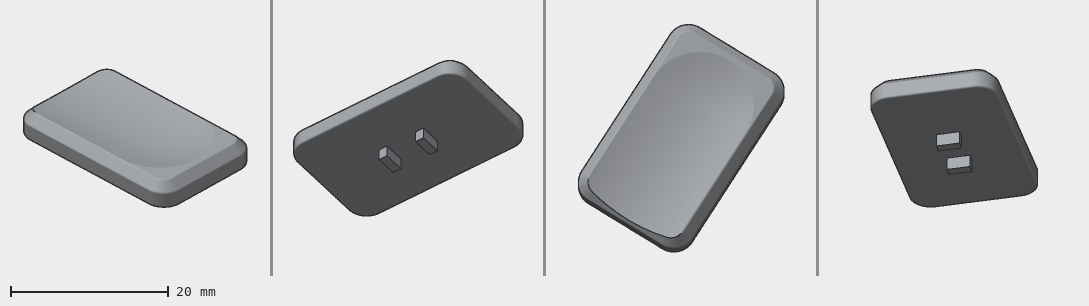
import cadquery as cq
import math

LENGTH = 26.55
WIDTH = 16.55
BODY_HEIGHT = 3.44
CORNER_RADIUS = 2.75
TOP_CHAMFER = 1.25
EDGE_FILLET = 0.25

SCOOP_HALF_WIDTH = 6.85
SCOOP_DEPTH = 0.87
SCOOP_END_CENTER_X = 4.5
SCOOP_RADIUS = (SCOOP_HALF_WIDTH**2 + SCOOP_DEPTH**2) / (2 * SCOOP_DEPTH)
SCOOP_BOTTOM_Z = BODY_HEIGHT - SCOOP_DEPTH

TAB_THICKNESS = 1.2
TAB_WIDTH = 3.0
TAB_LENGTH = 1.7
TAB_OFFSET = 2.85


def make_body():
    body = cq.Workplane("XY").box(LENGTH, WIDTH, BODY_HEIGHT, centered=(True, True, False))
    body = body.edges("|Z").fillet(CORNER_RADIUS)
    body = body.faces(">Z").edges().chamfer(TOP_CHAMFER)
    return body.edges("#Z").fillet(EDGE_FILLET)


def make_scoop_half_profile():
    """Half cross-section of the scoop: its bowl arc, then the rim fillet up to the top face."""
    bowl_center_z = SCOOP_BOTTOM_Z + SCOOP_RADIUS
    centers_apart = SCOOP_RADIUS + EDGE_FILLET
    rim_center_z = BODY_HEIGHT - EDGE_FILLET
    rim_angle = math.acos((bowl_center_z - rim_center_z) / centers_apart)
    rim_center_y = centers_apart * math.sin(rim_angle)

    def bowl_point(angle):
        y = SCOOP_RADIUS * math.sin(angle)
        z = bowl_center_z - SCOOP_RADIUS * math.cos(angle)
        return y, z

    def rim_point(angle):
        y = rim_center_y - EDGE_FILLET * math.sin(angle)
        z = rim_center_z + EDGE_FILLET * math.cos(angle)
        return y, z

    return (
        cq.Workplane("YZ", origin=(SCOOP_END_CENTER_X, 0, 0))
        .moveTo(0, SCOOP_BOTTOM_Z)
        .threePointArc(bowl_point(rim_angle / 2), bowl_point(rim_angle))
        .threePointArc(rim_point(rim_angle / 2), rim_point(0))
        .lineTo(0, BODY_HEIGHT)
        .close()
    )


def make_scoop():
    trough_length = LENGTH / 2 + SCOOP_END_CENTER_X
    half_trough = make_scoop_half_profile().extrude(-trough_length)
    other_half = half_trough.mirror("XZ")
    end_bowl = make_scoop_half_profile().revolve(360, (0, 0), (0, 1))
    return half_trough.union(other_half).union(end_bowl)


def make_tabs():
    return (
        cq.Workplane("XY")
        .pushPoints([(-TAB_OFFSET, 0), (TAB_OFFSET, 0)])
        .rect(TAB_THICKNESS, TAB_WIDTH)
        .extrude(-TAB_LENGTH)
    )


result = make_body().cut(make_scoop()).union(make_tabs())